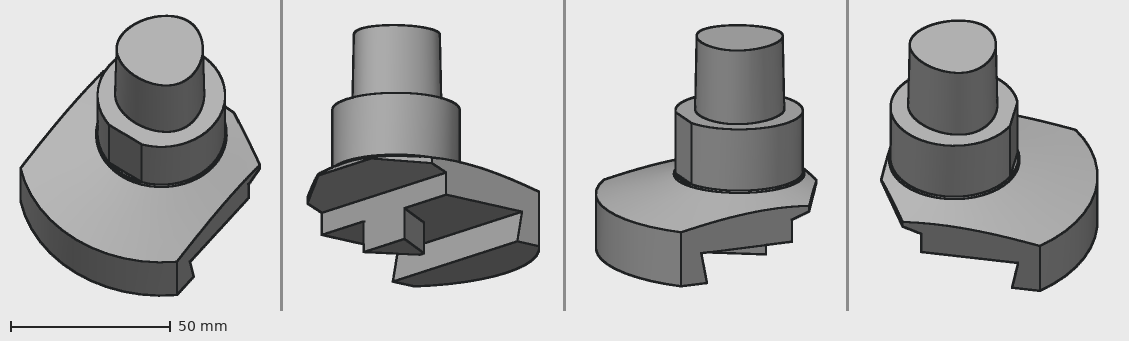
import cadquery as cq
import math

TOTAL_HEIGHT = 69
COLLAR_TOP = 45.0
COLLAR_BASE = 24.9
RELIEF_BASE = 24.3

SHANK_RADIUS_BOTTOM = 14.0
SHANK_RADIUS_TOP = 13.5
LOBE_SIZE_RATIO = 0.04
LOBES = 3
SHANK_POINTS = 24

COLLAR_RADIUS = 20
COLLAR_FLAT = 19.0
RELIEF_RADIUS = 20.5

WIDTH = 61.0
FLANGE_RADIUS = 44.9
BACK_Y = 20.9
BACK_WIDTH = 25.8
BACK_CHAMFER_ANGLE = 30
CONE_ANGLE = 15
BACK_EDGE_Z = 22.7
UNDERSIDE_ANGLE = 19

SLOT_HEIGHT = 10.0
WALL_Y = 4.9
KEY_FRONT_Y = -10.55
SLOT_FRONT_TOP_Y = -26.0
DOVETAIL_ANGLE = 11
KEY_BACK_WIDTH = 20
KEY_SIDE_ANGLE = 30


def tan(degrees):
    return math.tan(math.radians(degrees))


def shank_outline(radius):
    """Three-lobed closed curve with one lobe pointing toward +Y."""
    points = []
    for i in range(SHANK_POINTS):
        angle = 2 * math.pi * i / SHANK_POINTS
        lobe_angle = LOBES * (angle - math.pi / 2)
        reach = radius * (1 + LOBE_SIZE_RATIO * math.cos(lobe_angle))
        slope = -radius * LOBE_SIZE_RATIO * LOBES * math.sin(lobe_angle)
        x = reach * math.cos(angle) - slope * math.sin(angle)
        y = reach * math.sin(angle) + slope * math.cos(angle)
        points.append((x, y))
    return points


def make_shank():
    return (
        cq.Workplane("XY", origin=(0, 0, COLLAR_TOP))
        .spline(shank_outline(SHANK_RADIUS_BOTTOM), periodic=True).close()
        .workplane(offset=TOTAL_HEIGHT - COLLAR_TOP)
        .spline(shank_outline(SHANK_RADIUS_TOP), periodic=True).close()
        .loft(ruled=True)
    )


def make_collar():
    collar = (
        cq.Workplane("XY", origin=(0, 0, RELIEF_BASE))
        .circle(COLLAR_RADIUS).extrude(COLLAR_TOP - RELIEF_BASE)
    )
    flat_cut = (
        cq.Workplane("XY", origin=(0, -COLLAR_FLAT, COLLAR_BASE))
        .rect(2 * COLLAR_RADIUS, 2 * COLLAR_RADIUS).extrude(TOTAL_HEIGHT)
        .translate((0, -COLLAR_RADIUS, 0))
    )
    return collar.cut(flat_cut)


def make_flange():
    """Conical disc trimmed to the plan outline and the side profile."""
    rim_z = RELIEF_BASE - (FLANGE_RADIUS - RELIEF_RADIUS) * tan(CONE_ANGLE)
    disc = (
        cq.Workplane("XZ")
        .moveTo(0, 0)
        .lineTo(FLANGE_RADIUS, 0)
        .lineTo(FLANGE_RADIUS, rim_z)
        .lineTo(RELIEF_RADIUS, RELIEF_BASE)
        .lineTo(COLLAR_RADIUS, COLLAR_BASE)
        .lineTo(0, COLLAR_BASE)
        .close()
        .revolve(360, (0, 0, 0), (0, 1, 0))
    )

    half_width = WIDTH / 2
    half_back = BACK_WIDTH / 2
    chamfer_y = BACK_Y - (half_width - half_back) * tan(BACK_CHAMFER_ANGLE)
    plan = (
        cq.Workplane("XY")
        .polyline([
            (half_back, BACK_Y),
            (-half_back, BACK_Y),
            (-half_width, chamfer_y),
            (-half_width, -FLANGE_RADIUS),
            (half_width, -FLANGE_RADIUS),
            (half_width, chamfer_y),
        ])
        .close().extrude(COLLAR_BASE)
    )

    wall_top = BACK_EDGE_Z - (BACK_Y - WALL_Y) * tan(UNDERSIDE_ANGLE)
    slot_front_bottom_y = SLOT_FRONT_TOP_Y + SLOT_HEIGHT * tan(DOVETAIL_ANGLE)
    side = (
        cq.Workplane("YZ", origin=(-half_width, 0, 0))
        .polyline([
            (-FLANGE_RADIUS, 0),
            (slot_front_bottom_y, 0),
            (SLOT_FRONT_TOP_Y, SLOT_HEIGHT),
            (WALL_Y, SLOT_HEIGHT),
            (WALL_Y, wall_top),
            (BACK_Y, BACK_EDGE_Z),
            (BACK_Y, COLLAR_BASE),
            (-FLANGE_RADIUS, COLLAR_BASE),
        ])
        .close().extrude(WIDTH)
    )
    return disc.intersect(plan).intersect(side)


def make_key():
    """Wedge below the flange, narrowing toward the front."""
    half_back = KEY_BACK_WIDTH / 2
    half_front = half_back - (WALL_Y - KEY_FRONT_Y) * tan(KEY_SIDE_ANGLE)
    return (
        cq.Workplane("XY")
        .polyline([
            (-half_back, WALL_Y),
            (half_back, WALL_Y),
            (half_front, KEY_FRONT_Y),
            (-half_front, KEY_FRONT_Y),
        ])
        .close().extrude(SLOT_HEIGHT)
    )


result = make_flange().union(make_key()).union(make_collar()).union(make_shank())